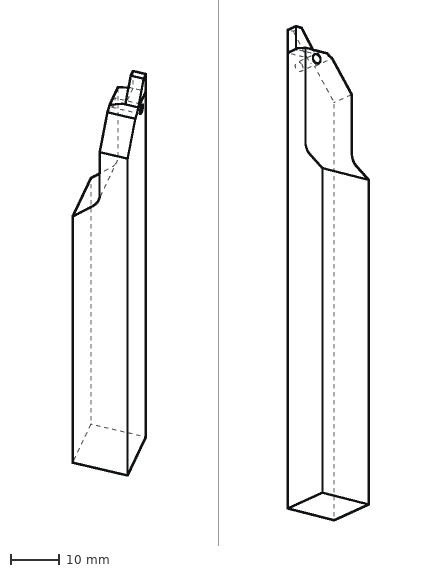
import cadquery as cq
import math

shank_width = 12.0
total_height = 105.0

neck_width = 6.1
neck_blend_radius = 5.0
neck_blend_top = total_height - 25.8
shoulder_angle = math.radians(45)

tip_land = 1.5
tip_bevel_foot_depth = 4.8
tip_bevel_foot_z = total_height - 4.8
head_corner_depth = 6.9
head_corner_z = total_height - 6.5
head_bevel_bottom_z = total_height - 13.3
head_blend_radius = 4.7

blade_width = 2.8
seat_z = total_height - 5.0
seat_width = 3.5
seat_edge_z = total_height - 5.7

pin_diameter = 2.0
pin_depth = 2.9
pin_z = total_height - 7.5

right_x = shank_width / 2
back_y = shank_width / 2
neck_x = right_x - neck_width
blade_x = right_x - blade_width


def make_front_outline():
    """Shank, sloping shoulder, neck and seat, extruded through the full depth."""
    blend_width = neck_blend_radius * (1 - math.cos(shoulder_angle))
    blend_x = neck_x - blend_width
    blend_z = neck_blend_top - neck_blend_radius * math.sin(shoulder_angle)
    half_angle = shoulder_angle / 2
    blend_middle = (
        neck_x - neck_blend_radius * (1 - math.cos(half_angle)),
        neck_blend_top - neck_blend_radius * math.sin(half_angle),
    )
    shoulder_bottom_z = blend_z - (blend_x + right_x) * math.tan(shoulder_angle)
    return (
        cq.Workplane("XZ", origin=(0, back_y, 0))
        .moveTo(right_x, 0)
        .lineTo(-right_x, 0)
        .lineTo(-right_x, shoulder_bottom_z)
        .lineTo(blend_x, blend_z)
        .threePointArc(blend_middle, (neck_x, neck_blend_top))
        .lineTo(neck_x, seat_edge_z)
        .lineTo(right_x - seat_width, seat_z)
        .lineTo(right_x, seat_z)
        .close()
        .extrude(shank_width)
    )


def make_head_profile():
    """Side outline with the tip bevel, concave blend and head bevel."""
    return (
        cq.Workplane("YZ", origin=(-right_x, 0, 0))
        .moveTo(back_y, 0)
        .lineTo(-back_y, 0)
        .lineTo(-back_y, head_bevel_bottom_z)
        .lineTo(back_y - head_corner_depth, head_corner_z)
        .radiusArc((back_y - tip_bevel_foot_depth, tip_bevel_foot_z), -head_blend_radius)
        .lineTo(back_y - tip_land, total_height)
        .lineTo(back_y, total_height)
        .close()
        .extrude(shank_width)
    )


def make_pin():
    """Round pin, flush with both side faces of the neck."""
    return (
        cq.Workplane("YZ", origin=(neck_x, back_y - pin_depth, pin_z))
        .circle(pin_diameter / 2)
        .extrude(neck_width)
    )


def make_blade():
    """Bevelled blade standing on the seat, flush with the +X and +Y faces."""
    blade_height = total_height - seat_z
    blank = cq.Workplane("XY").box(blade_width, shank_width, blade_height, centered=False)
    return blank.translate((blade_x, -back_y, seat_z)).intersect(make_head_profile())


pin = make_pin()
blade = make_blade()
holder = make_front_outline().intersect(make_head_profile()).cut(pin)

result = cq.Compound.makeCompound([holder.val(), pin.val(), blade.val()])